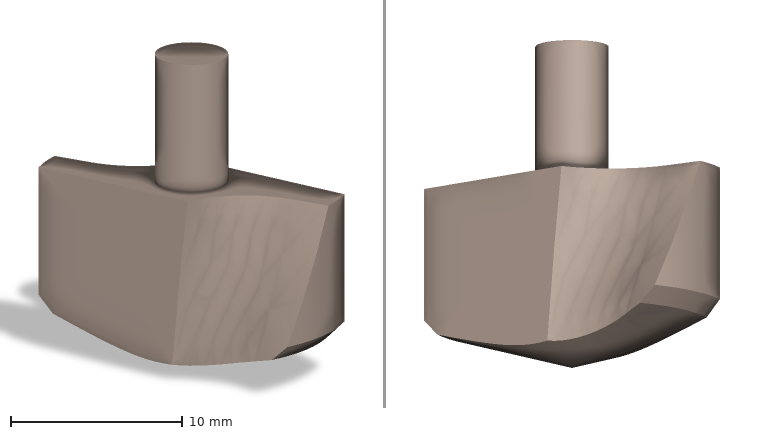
import cadquery as cq
import math

total_height = 19.1
shank_diameter = 4.3
head_radius = 9.292
head_thickness = 6.57
head_top = 11.29

cone_radius = 8.33
cone_height = 2.5
chamfer_top = 3.45

face_edge_x = shank_diameter / 2
face_edge_y = -head_thickness / 2
wall_inner_x = 6.82
wall_inner_y = 0.69
wall_angle = 7.0
twist_rate = 2.869
cutter_reach = 13.37


def make_head():
    """Pointed round blank, trimmed to a flat-sided slab."""
    blank = (
        cq.Workplane("XZ")
        .moveTo(0, 0)
        .lineTo(cone_radius, cone_height)
        .lineTo(head_radius, chamfer_top)
        .lineTo(head_radius, head_top)
        .lineTo(0, head_top)
        .close()
        .revolve(360, (0, 0), (0, 1))
    )
    slab = cq.Workplane("XY").box(
        2 * head_radius, head_thickness, head_top, centered=(True, True, False)
    )
    return blank.intersect(slab)


def make_flute_cutter():
    """Twisted cutter: a straight outer wall running tangent into an arc."""
    slope = math.radians(wall_angle)
    normal_x = math.sin(slope)
    normal_y = -math.cos(slope)

    chord_x = wall_inner_x - face_edge_x
    chord_y = wall_inner_y - face_edge_y
    arc_radius = -(chord_x**2 + chord_y**2) / (2 * (chord_x * normal_x + chord_y * normal_y))
    center_x = wall_inner_x + arc_radius * normal_x
    center_y = wall_inner_y + arc_radius * normal_y

    middle_angle = (math.pi / 2 + slope + math.pi) / 2
    arc_middle = (
        center_x + arc_radius * math.cos(middle_angle),
        center_y + arc_radius * math.sin(middle_angle),
    )
    arc_end_x = center_x - arc_radius
    wall_outer_y = wall_inner_y + (cutter_reach - wall_inner_x) * math.tan(slope)

    twist = twist_rate * head_top
    return (
        cq.Workplane("XY")
        .transformed(rotate=(0, 0, -twist))
        .moveTo(cutter_reach, wall_outer_y)
        .lineTo(wall_inner_x, wall_inner_y)
        .threePointArc(arc_middle, (arc_end_x, center_y))
        .lineTo(arc_end_x, -cutter_reach)
        .lineTo(cutter_reach, -cutter_reach)
        .close()
        .twistExtrude(head_top, twist)
    )


result = make_head()

flute_cutter = make_flute_cutter()
for turn in (0, 180):
    result = result.cut(flute_cutter.rotate((0, 0, 0), (0, 0, 1), turn))

shank = (
    cq.Workplane("XY")
    .workplane(offset=head_top)
    .circle(shank_diameter / 2)
    .extrude(total_height - head_top)
)
result = result.union(shank)